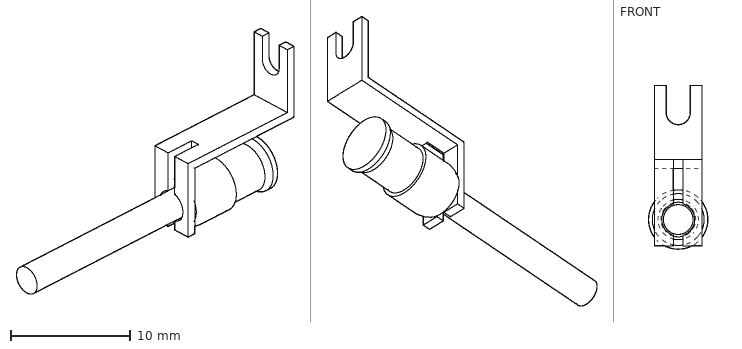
import cadquery as cq

overall_length = 29.35

bracket_width = 4.0
bracket_depth = 12.42
sheet = 0.8
shelf_top = 5.05
bracket_bottom = -2.2
bracket_top = 11.25

fork_width = 2.0
fork_depth = 3.3
slot_width = 0.8
slot_depth = 2.75
rod_hole_diameter = 2.75

rod_diameter = 2.5
sleeve_diameter = 5.0
body_diameter = 4.35
sleeve_front = 1.8
sleeve_back = 5.17
flare_start = 8.83
rim_front = 9.48
rim_back = 10.0
dome_height = 0.55
nose_bulge = 0.05

mouth_diameter = 3.38
throat_diameter = 2.9
mouth_depth = 0.23


def make_bracket():
    """Front plate, horizontal shelf and rear upright, bent from one sheet."""
    profile = [
        (0, bracket_bottom),
        (0, shelf_top),
        (bracket_depth - sheet, shelf_top),
        (bracket_depth - sheet, bracket_top),
        (bracket_depth, bracket_top),
        (bracket_depth, shelf_top - sheet),
        (sheet, shelf_top - sheet),
        (sheet, bracket_bottom),
    ]
    return cq.Workplane("YZ").polyline(profile).close().extrude(bracket_width / 2, both=True)


def make_fork_cut():
    """Round-bottomed notch open at the top of the rear upright."""
    radius = fork_width / 2
    notch_center = bracket_top - fork_depth + radius
    return (
        cq.Workplane("XZ", origin=(0, bracket_depth, 0))
        .moveTo(-radius, bracket_top)
        .lineTo(-radius, notch_center)
        .threePointArc((0, notch_center - radius), (radius, notch_center))
        .lineTo(radius, bracket_top)
        .close()
        .extrude(sheet)
    )


def make_slot_cut():
    """Slit through the whole front plate and the front of the shelf."""
    height = shelf_top - bracket_bottom
    return cq.Workplane("XY", origin=(0, 0, bracket_bottom)).box(
        slot_width, slot_depth, height, centered=(True, False, False)
    )


def make_cylinder(diameter, start, end):
    """Cylinder on the Y axis between two Y positions."""
    return cq.Workplane("XZ", origin=(0, end, 0)).circle(diameter / 2).extrude(end - start)


def make_barrel():
    """Turned barrel: rounded nose, sleeve, body, flared rim and domed end."""
    sleeve_radius = sleeve_diameter / 2
    body_radius = body_diameter / 2
    nose_middle = ((sleeve_radius + body_radius) / 2 + nose_bulge, (sheet + sleeve_front) / 2)
    dome_radius = (sleeve_radius**2 + dome_height**2) / (2 * dome_height)
    dome_middle_x = sleeve_radius / 2
    dome_drop = dome_radius - (dome_radius**2 - dome_middle_x**2) ** 0.5
    dome_apex = rim_back + dome_height
    return (
        cq.Workplane("XY")
        .moveTo(0, sheet)
        .lineTo(body_radius, sheet)
        .threePointArc(nose_middle, (sleeve_radius, sleeve_front))
        .lineTo(sleeve_radius, sleeve_back)
        .lineTo(body_radius, sleeve_back)
        .lineTo(body_radius, flare_start)
        .lineTo(sleeve_radius, rim_front)
        .lineTo(sleeve_radius, rim_back)
        .threePointArc((dome_middle_x, dome_apex - dome_drop), (0, dome_apex))
        .close()
        .revolve(360, (0, 0, 0), (0, 1, 0))
    )


def make_funnel_cut():
    """Steep mouth and long taper that close onto the rod at the sleeve's front edge."""
    profile = [
        (0, sheet),
        (mouth_diameter / 2, sheet),
        (throat_diameter / 2, sheet + mouth_depth),
        (rod_diameter / 2, sleeve_front),
        (0, sleeve_front),
    ]
    return cq.Workplane("XY").polyline(profile).close().revolve(360, (0, 0, 0), (0, 1, 0))


bracket = make_bracket().cut(make_fork_cut()).cut(make_slot_cut())
bracket = bracket.cut(make_cylinder(rod_hole_diameter, 0, sheet))
rod = make_cylinder(rod_diameter, bracket_depth - overall_length, sleeve_front)

barrel = make_barrel().cut(make_funnel_cut())

result = bracket.union(barrel).union(rod)